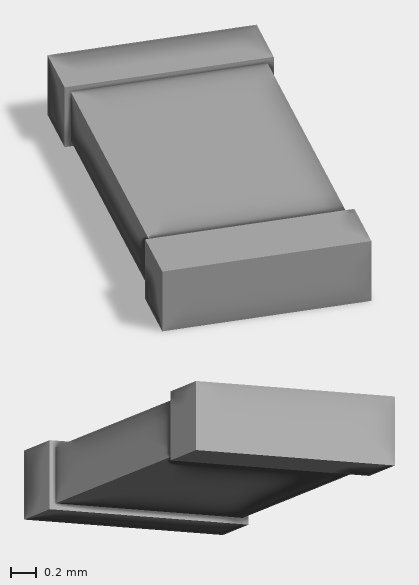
import cadquery as cq

total_length = 3.35
cap_width = 1.7
cap_height = 0.55

cap_length = 0.5
cap_step = 0.05

body_length = total_length - 2 * cap_length
body_width = cap_width - 2 * cap_step
body_height = cap_height - 2 * cap_step


def make_body():
    """Plain rectangular body, centred on the origin."""
    return cq.Workplane("XY").box(body_length, body_width, body_height)


def make_end_cap(side):
    """Solid end cap butted against the body; side is -1 or +1 along X."""
    center_x = side * (total_length - cap_length) / 2
    return cq.Workplane("XY").box(cap_length, cap_width, cap_height).translate((center_x, 0, 0))


body = make_body()
end_caps = [make_end_cap(side) for side in (-1, 1)]

result = cq.Compound.makeCompound([body.val(), *[cap.val() for cap in end_caps]])